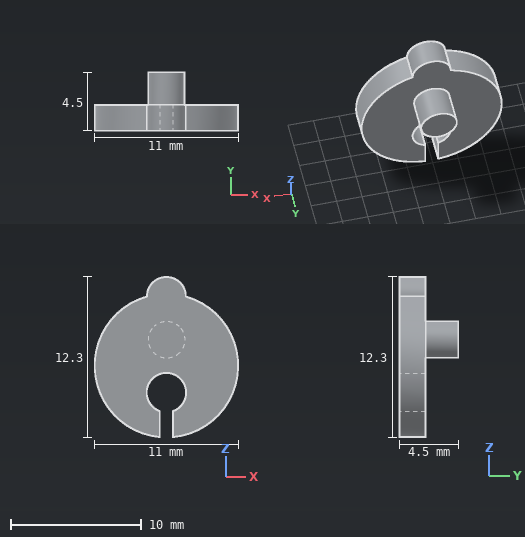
import cadquery as cq
import math

disc_radius = 5.5
disc_thickness = 2.0
tab_radius = 1.5
hole_radius = 1.5
slot_width = 1.0
slot_wall_length = 2.0
pin_diameter = 2.8
pin_length = 2.5
pin_center_z = 2.0

tab_center_z = math.sqrt(disc_radius**2 - tab_radius**2)

slot_half_width = slot_width / 2
slot_wall_bottom_z = -math.sqrt(disc_radius**2 - slot_half_width**2)
slot_wall_top_z = slot_wall_bottom_z + slot_wall_length
hole_center_z = slot_wall_top_z + math.sqrt(hole_radius**2 - slot_half_width**2)


def cylinder_along_y(radius, center_z, start_y, length):
    """Cylinder on the X = 0 plane that runs from start_y toward +Y."""
    axis_start = cq.Vector(0, start_y, center_z)
    return cq.Workplane(cq.Solid.makeCylinder(radius, length, axis_start, cq.Vector(0, 1, 0)))


def make_plate():
    """Disc with the rounded tab on top; the front face lies on Y = 0."""
    disc = cylinder_along_y(disc_radius, 0, 0, disc_thickness)
    tab = cylinder_along_y(tab_radius, tab_center_z, 0, disc_thickness)
    return disc.union(tab)


def make_keyhole():
    """Round hole with a slot that opens through the bottom of the disc."""
    hole = cylinder_along_y(hole_radius, hole_center_z, 0, disc_thickness)
    slot_length = disc_radius + hole_center_z
    slot = cq.Workplane("XY").box(
        slot_width, disc_thickness, slot_length, centered=(True, False, False)
    ).translate((0, 0, -disc_radius))
    return hole.union(slot)


def make_pin():
    """Pin that stands on the back face of the disc."""
    return cylinder_along_y(pin_diameter / 2, pin_center_z, disc_thickness, pin_length)


result = make_plate().cut(make_keyhole()).union(make_pin())